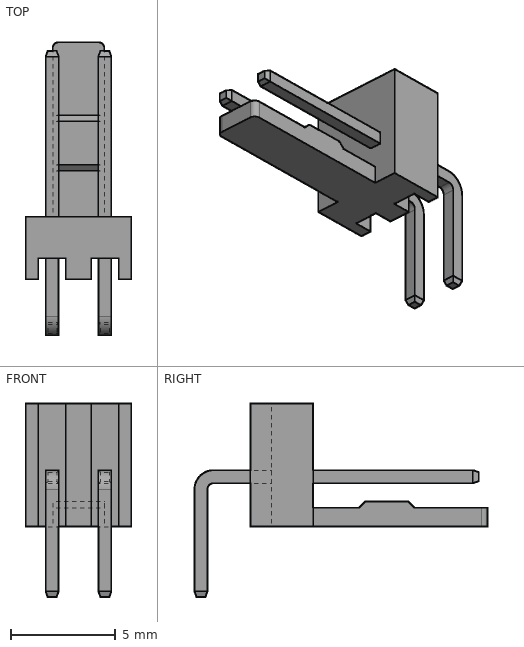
import cadquery as cq

overall_length = 14.1
pin_count = 2
pitch = 2.54

body_width = pin_count * pitch
body_depth = 3.02
body_height = 5.92
groove_width = 1.31
groove_depth = 1.02

pin_size = 0.63
pin_top = 2.72
pin_bottom = -3.38
pin_back = 10.98
pin_front = -2.7
bend_inner_radius = 0.3
bend_outer_radius = bend_inner_radius + pin_size
tip_length = 0.28
tip_size = 0.44

tongue_width = 2.5
tongue_end = overall_length + pin_front
tongue_thickness = 0.92
tongue_corner_radius = 0.3
ramp_rise = 0.3
ramp_start = 5.22
ramp_end = 7.9

pin_positions = [(i - (pin_count - 1) / 2) * pitch for i in range(pin_count)]


def make_body():
    body = cq.Workplane("XY").box(body_width, body_depth, body_height, centered=(True, False, False))
    for x in pin_positions:
        groove = (
            cq.Workplane("XY")
            .box(groove_width, groove_depth, body_height, centered=(True, False, False))
            .translate((x, 0, 0))
        )
        body = body.cut(groove)
    return body


def make_tongue():
    length = tongue_end - groove_depth
    tongue = (
        cq.Workplane("XY")
        .box(tongue_width, length, tongue_thickness, centered=(True, False, False))
        .translate((0, groove_depth, 0))
        .edges("|Z and >Y")
        .fillet(tongue_corner_radius)
    )
    ramp = (
        cq.Workplane("YZ")
        .moveTo(ramp_start, tongue_thickness)
        .lineTo(ramp_start + ramp_rise, tongue_thickness + ramp_rise)
        .lineTo(ramp_end - ramp_rise, tongue_thickness + ramp_rise)
        .lineTo(ramp_end, tongue_thickness)
        .close()
        .extrude(tongue_width / 2, both=True)
    )
    return tongue.union(ramp)


def make_tip(base_plane):
    """Tapered square pin end, growing along the plane normal."""
    return (
        cq.Workplane(base_plane)
        .rect(pin_size, pin_size)
        .workplane(offset=tip_length)
        .rect(tip_size, tip_size)
        .loft()
    )


def make_pin():
    straight_back = pin_back - tip_length
    straight_bottom = pin_bottom + tip_length
    shank = (
        cq.Workplane("YZ")
        .moveTo(straight_back, pin_top)
        .lineTo(pin_front + bend_outer_radius, pin_top)
        .radiusArc((pin_front, pin_top - bend_outer_radius), -bend_outer_radius)
        .lineTo(pin_front, straight_bottom)
        .lineTo(pin_front + pin_size, straight_bottom)
        .lineTo(pin_front + pin_size, pin_top - bend_outer_radius)
        .radiusArc((pin_front + bend_outer_radius, pin_top - pin_size), bend_inner_radius)
        .lineTo(straight_back, pin_top - pin_size)
        .close()
        .extrude(pin_size / 2, both=True)
    )
    back_plane = cq.Plane(
        origin=(0, straight_back, pin_top - pin_size / 2), xDir=(1, 0, 0), normal=(0, 1, 0)
    )
    bottom_plane = cq.Plane(
        origin=(0, pin_front + pin_size / 2, straight_bottom), xDir=(1, 0, 0), normal=(0, 0, -1)
    )
    return shank.union(make_tip(back_plane)).union(make_tip(bottom_plane))


result = make_body().union(make_tongue())
for x in pin_positions:
    result = result.union(make_pin().translate((x, 0, 0)))